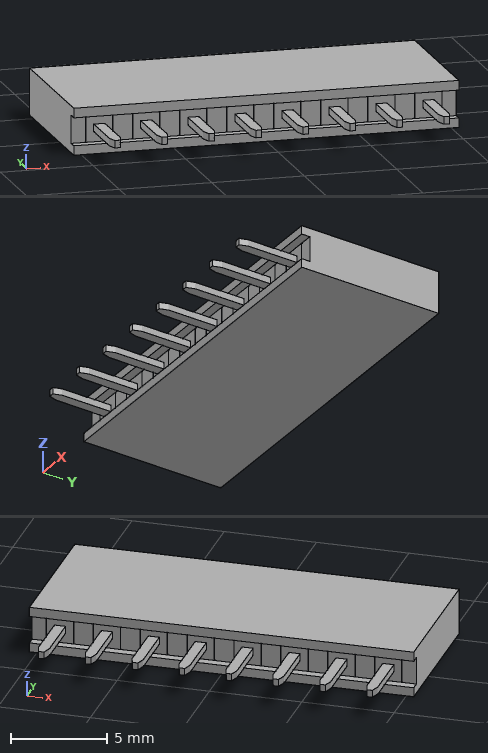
import cadquery as cq

pin_count = 8
pitch = 2.54
body_length = 20.82
body_depth = 8.5
body_height = 2.54

groove_height = 1.5
groove_depth = 0.5

pocket_width = 1.5
insert_width = 1.45
slit_depth = 1.0

pin_width = 0.6
pin_thickness = 0.4
pin_reach = 3.0
tip_length = 0.5
tip_width = 0.3

groove_floor_y = groove_depth
slit_floor_y = groove_floor_y + slit_depth
pin_tip_y = -pin_reach
taper_start_y = pin_tip_y + tip_length

pin_positions = [(i - (pin_count - 1) / 2) * pitch for i in range(pin_count)]


def block(size_x, size_z, y_start, y_end, x=0):
    """Box centred on Z = 0 and on the given X, spanning two Y levels."""
    size_y = y_end - y_start
    return cq.Workplane("XY").box(size_x, size_y, size_z).translate((x, y_start + size_y / 2, 0))


def make_body():
    """Plain bar with the groove along its pin side."""
    bar = block(body_length, body_height, 0, body_depth)
    return bar.cut(block(body_length, groove_height, 0, groove_floor_y))


def make_slits(x):
    """Pair of fine slits left between an insert and the sides of its pocket."""
    pocket = block(pocket_width, groove_height, groove_floor_y, slit_floor_y, x)
    return pocket.cut(block(insert_width, groove_height, groove_floor_y, slit_floor_y, x))


def make_pin(x):
    """Pin rooted in its insert, ending in a tapered tip."""
    half_width = pin_width / 2
    half_tip = tip_width / 2
    outline = [
        (x - half_width, slit_floor_y),
        (x - half_width, taper_start_y),
        (x - half_tip, pin_tip_y),
        (x + half_tip, pin_tip_y),
        (x + half_width, taper_start_y),
        (x + half_width, slit_floor_y),
    ]
    return cq.Workplane("XY").polyline(outline).close().extrude(pin_thickness / 2, both=True)


result = make_body()
for pin_x in pin_positions:
    result = result.cut(make_slits(pin_x))
    result = result.union(make_pin(pin_x))